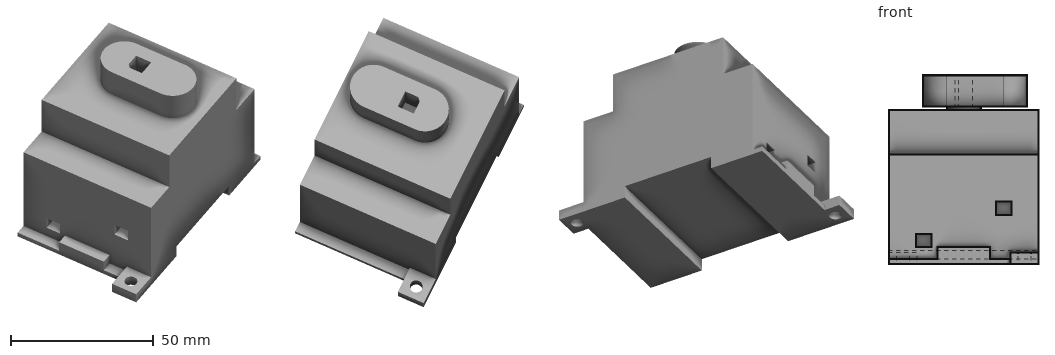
import cadquery as cq

width = 52.5
overall_length = 89.0
overall_height = 66.2
base_length = 69.1
shoulder_height = 38.4
upper_length = 44.9
housing_height = 54.0

channel_width = 35.2
channel_depth = 4.8

foot_length = 76.9
foot_height = 1.9
lug_height = 4.0
lug_width = 10.0
screw_hole_diameter = 4.5
screw_hole_inset = 4.5

latch_width = 18.3
latch_height = 6.05

terminal_width = 5.5
terminal_height = 4.6
terminal_depth = 5.3
terminal_offset = 14.0
lower_terminal_z = 8.3
upper_terminal_z = 19.6

shaft_diameter = 11.9
handle_length = 36.5
handle_width = 16.55
handle_height = 11.0
handle_offset = 3.9
socket_size = 6.2
socket_chamfer = 1.25
socket_depth = handle_height


def block(x_min, x_max, y_min, y_max, height):
    """Box standing on the base plane."""
    size_x = x_max - x_min
    size_y = y_max - y_min
    return cq.Workplane("XY").box(size_x, size_y, height, centered=False).translate((x_min, y_min, 0))


def make_housing():
    half_width = width / 2
    lower = block(-half_width, half_width, -base_length / 2, base_length / 2, shoulder_height)
    upper = block(-half_width, half_width, -upper_length / 2, upper_length / 2, housing_height)
    return lower.union(upper)


def make_feet():
    half_width = width / 2
    feet = block(-half_width, half_width, -foot_length / 2, foot_length / 2, foot_height)
    latch = block(-latch_width / 2, latch_width / 2, -foot_length / 2, 0, latch_height)
    return feet.union(latch)


def make_lug():
    """Front right lug, running back under the housing."""
    return block(width / 2 - lug_width, width / 2, -overall_length / 2, -channel_width / 2, lug_height)


def make_screw_hole():
    """Hole through the front right lug; it also clips the edge of the foot."""
    hole_x = width / 2 - lug_width / 2
    hole_y = -overall_length / 2 + screw_hole_inset
    return cq.Workplane("XY").center(hole_x, hole_y).circle(screw_hole_diameter / 2).extrude(lug_height)


def make_terminal(x, z):
    return (
        cq.Workplane("XZ", origin=(x, -base_length / 2, z))
        .rect(terminal_width, terminal_height)
        .extrude(-terminal_depth)
    )


def make_handle():
    handle_bottom = overall_height - handle_height
    grip = (
        cq.Workplane("XY", origin=(handle_offset, 0, handle_bottom))
        .slot2D(handle_length, handle_width)
        .extrude(handle_height)
    )
    socket = (
        cq.Workplane("XY", origin=(0, 0, overall_height))
        .rect(socket_size, socket_size)
        .extrude(-socket_depth)
        .edges("|Z")
        .edges("<X and <Y")
        .chamfer(socket_chamfer)
    )
    shaft = (
        cq.Workplane("XY", origin=(0, 0, housing_height))
        .circle(shaft_diameter / 2)
        .extrude(handle_bottom - housing_height)
    )
    return grip.cut(socket).union(shaft)


result = make_housing().union(make_feet())

for angle in (0, 180):
    result = result.union(make_lug().rotate((0, 0, 0), (0, 0, 1), angle))
    result = result.cut(make_screw_hole().rotate((0, 0, 0), (0, 0, 1), angle))

channel = block(-width / 2, width / 2, -channel_width / 2, channel_width / 2, channel_depth)
result = result.cut(channel)

for x, z in ((-terminal_offset, lower_terminal_z), (terminal_offset, upper_terminal_z)):
    result = result.cut(make_terminal(x, z))

result = result.union(make_handle())